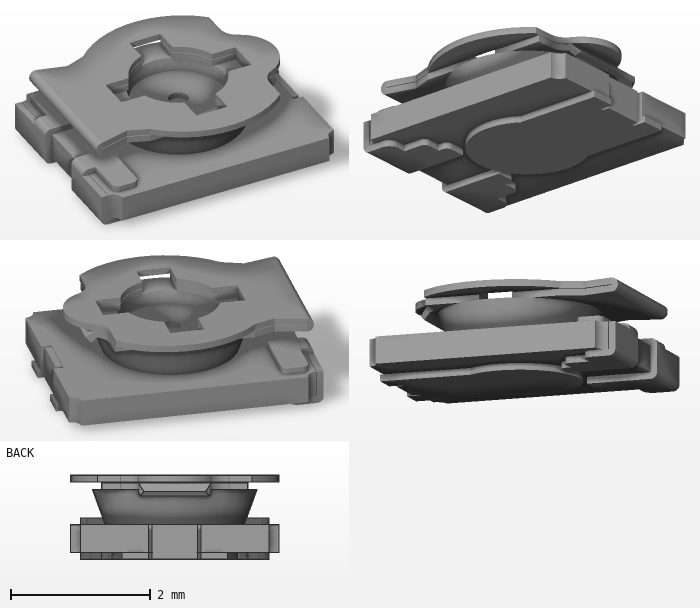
import cadquery as cq
import math


sheet = 0.1
base_bottom = sheet
base_top = 0.5
cup_top = 1.002
hem_gap = 0.01
upper_bottom = cup_top + sheet + hem_gap
part_top = upper_bottom + sheet

base_width = 3.0
base_half_width = base_width / 2
base_rear = 1.817
base_front = -1.833
corner_scoop_radius = 0.15
notch_half_width = 0.377
notch_floor = 1.665

terminal_inner = 0.408
terminal_outer = 1.355
terminal_front = -1.945
arm_outer = 0.755
pad_rear = -1.335
pad_front = -1.735
corner_radius = 0.1
foot_middle_outer = 1.05
foot_rear = -0.872
foot_middle_rear = -1.04
foot_wide_rear = -1.435
foot_wide_radius = 0.15

plate_half_width = 0.755
plate_disc_radius = 0.9
plate_rear = 1.865
lug_half_width = 0.325
lug_rear = 1.77
rivet_radius = 0.3

cup_foot_radius = 1.0
cup_rim_radius = 1.18
pocket_rim_radius = 0.755
pocket_floor_radius = 0.71
pocket_depth = 0.2
eyelet_radius = 0.15
eyelet_depth = 0.1

dial_radius = 1.497
dial_centre = 0.07
shoulder = 1.07
pointer_radius = 0.57
pointer_centre = 1.0
pointer_fillet = 0.285
strip_half_width = 1.05
neck_half_width = 0.935
neck = -1.315
fold_tangent = -1.77
dial_bore_radius = 0.72
slot_half_width = 0.25
tab_drop = 0.122

dial_shoulder_x = math.sqrt(dial_radius**2 - (shoulder - dial_centre) ** 2)
dial_end = dial_centre - math.sqrt(dial_radius**2 - strip_half_width**2)
fillet_centre_y = shoulder + pointer_fillet
fillet_centre_x = math.sqrt(
    (pointer_radius + pointer_fillet) ** 2 - (fillet_centre_y - pointer_centre) ** 2
)
tangent_share = pointer_radius / (pointer_radius + pointer_fillet)
tangent_x = fillet_centre_x * tangent_share
tangent_y = pointer_centre + (fillet_centre_y - pointer_centre) * tangent_share
fillet_start_angle = math.atan2(tangent_y - fillet_centre_y, tangent_x - fillet_centre_x)
fillet_middle_angle = (fillet_start_angle % (2 * math.pi) + 1.5 * math.pi) / 2
fillet_middle_x = fillet_centre_x + pointer_fillet * math.cos(fillet_middle_angle)
fillet_middle_y = fillet_centre_y + pointer_fillet * math.sin(fillet_middle_angle)


def block(x_min, x_max, y_min, y_max, z_min, z_max):
    """Box between the given limits."""
    size = (x_max - x_min, y_max - y_min, z_max - z_min)
    return cq.Workplane("XY").box(*size, centered=False).translate((x_min, y_min, z_min))


def cylinder(radius, z_min, z_max):
    """Cylinder on the wiper axis."""
    return cq.Workplane("XY").workplane(offset=z_min).circle(radius).extrude(z_max - z_min)


def make_base():
    """Ceramic plate with scooped corners, a rear notch and a rivet hole."""
    base = block(-base_half_width, base_half_width, base_front, base_rear, base_bottom, base_top)
    scoops = (
        cq.Workplane("XY")
        .workplane(offset=base_bottom)
        .pushPoints([(x, y) for x in (-base_half_width, base_half_width) for y in (base_front, base_rear)])
        .circle(corner_scoop_radius)
        .extrude(base_top - base_bottom)
    )
    notch = block(-notch_half_width, notch_half_width, notch_floor, base_rear, base_bottom, base_top)
    rivet_hole = cylinder(rivet_radius, base_bottom, base_top)
    return base.cut(scoops).cut(notch).cut(rivet_hole)


def make_terminal(side):
    """End terminal folded around the front of the base; side is +1 or -1 along X."""
    pad_top = base_top + sheet
    inner_face = terminal_front + sheet

    wall = block(terminal_inner, terminal_outer, terminal_front, pad_front, 0, base_top)
    wall = wall.edges("|X and <Y and <Z").fillet(sheet)
    arm = block(terminal_inner, arm_outer, terminal_front, pad_front, 0, pad_top)
    arm = arm.edges("|X and <Y").fillet(sheet)
    base_space = block(terminal_inner, terminal_outer, inner_face, pad_front, sheet, base_top)
    bracket = wall.union(arm).cut(base_space)

    pad = block(terminal_inner, terminal_outer, pad_front, pad_rear, base_top, pad_top)
    pad = pad.edges("|Z and >X").fillet(corner_radius)

    foot_steps = [
        (arm_outer, foot_rear, corner_radius),
        (foot_middle_outer, foot_middle_rear, corner_radius),
        (terminal_outer, foot_wide_rear, foot_wide_radius),
    ]
    terminal = bracket.union(pad)
    for outer, rear, radius in foot_steps:
        step = block(terminal_inner, outer, inner_face, rear, 0, sheet)
        terminal = terminal.union(step.edges("|Z and >X and >Y").fillet(radius))
    return terminal if side > 0 else terminal.mirror("YZ")


def make_centre_plate():
    """Centre terminal: disc, two rear tabs and a lug bent up into the base notch."""
    disc = cylinder(plate_disc_radius, 0, sheet)
    strip = block(-plate_half_width, plate_half_width, 0, plate_rear, 0, sheet)
    gap = block(-notch_half_width, notch_half_width, notch_floor, plate_rear, 0, sheet)
    lug_foot = block(-lug_half_width, lug_half_width, notch_floor, lug_rear, 0, sheet)
    lug = block(-lug_half_width, lug_half_width, lug_rear - sheet, lug_rear, 0, base_top)
    return disc.union(strip).cut(gap).union(lug_foot).union(lug)


def make_cup():
    """Conical cup with a tapered pocket and a blind eyelet, on its rivet."""
    pocket_floor = cup_top - pocket_depth
    eyelet_floor = pocket_floor - eyelet_depth
    half_section = [
        (0, sheet),
        (rivet_radius, sheet),
        (rivet_radius, base_top),
        (cup_foot_radius, base_top),
        (cup_rim_radius, cup_top),
        (pocket_rim_radius, cup_top),
        (pocket_floor_radius, pocket_floor),
        (eyelet_radius, pocket_floor),
        (eyelet_radius, eyelet_floor),
        (0, eyelet_floor),
    ]
    return cq.Workplane("XZ").polyline(half_section).close().revolve(360, (0, 0), (0, 1))


def neck_and_fold_edge(outline):
    """Continue an outline from the -X end of the dial along the neck and fold line to the +X end."""
    return (
        outline.lineTo(-neck_half_width, neck)
        .lineTo(-strip_half_width, fold_tangent)
        .lineTo(strip_half_width, fold_tangent)
        .lineTo(neck_half_width, neck)
        .lineTo(strip_half_width, dial_end)
    )


def make_upper_layer():
    """Dial with its rounded pointer at the rear."""
    outline = (
        cq.Workplane("XY")
        .workplane(offset=upper_bottom)
        .moveTo(dial_shoulder_x, shoulder)
        .lineTo(fillet_centre_x, shoulder)
        .threePointArc((fillet_middle_x, fillet_middle_y), (tangent_x, tangent_y))
        .threePointArc((0, pointer_centre + pointer_radius), (-tangent_x, tangent_y))
        .threePointArc((-fillet_middle_x, fillet_middle_y), (-fillet_centre_x, shoulder))
        .lineTo(-dial_shoulder_x, shoulder)
        .threePointArc((-dial_radius, dial_centre), (-strip_half_width, dial_end))
    )
    outline = neck_and_fold_edge(outline)
    outline = outline.threePointArc((dial_radius, dial_centre), (dial_shoulder_x, shoulder))
    return outline.close().extrude(sheet)


def make_lower_layer():
    """Strip on the cup rim, ending at the root of the bent tab."""
    outline = (
        cq.Workplane("XY")
        .workplane(offset=cup_top)
        .moveTo(strip_half_width, shoulder)
        .lineTo(fillet_centre_x, shoulder)
        .threePointArc((fillet_middle_x, fillet_middle_y), (tangent_x, tangent_y))
        .lineTo(-tangent_x, tangent_y)
        .threePointArc((-fillet_middle_x, fillet_middle_y), (-fillet_centre_x, shoulder))
        .lineTo(-strip_half_width, shoulder)
        .lineTo(-strip_half_width, dial_end)
    )
    return neck_and_fold_edge(outline).close().extrude(sheet)


def make_bent_tab():
    """Tab bent down 45 degrees, its sides following the round of the pointer."""
    root_top = cup_top + sheet
    skew = sheet / math.sqrt(2)
    root_inset = sheet * math.tan(math.pi / 8)
    side_profile = [
        (tangent_y, root_top),
        (tangent_y + tab_drop, root_top - tab_drop),
        (tangent_y + tab_drop - skew, root_top - tab_drop - skew),
        (tangent_y - root_inset, cup_top),
    ]
    tab = cq.Workplane("YZ").polyline(side_profile).close().extrude(tangent_x, both=True)
    pointer_round = (
        cq.Workplane("XY")
        .workplane(offset=base_top)
        .center(0, pointer_centre)
        .circle(pointer_radius)
        .extrude(part_top - base_top)
    )
    return tab.intersect(pointer_round)


def make_fold():
    """Fold joining the two layers at the front, its upper and lower edges fully rounded."""
    fold_front = fold_tangent - sheet
    arc_shift = sheet * math.sqrt(0.5)
    lower_top = cup_top + sheet
    return (
        cq.Workplane("YZ")
        .moveTo(fold_tangent, cup_top)
        .threePointArc((fold_tangent - arc_shift, lower_top - arc_shift), (fold_front, lower_top))
        .lineTo(fold_front, upper_bottom)
        .threePointArc((fold_tangent - arc_shift, upper_bottom + arc_shift), (fold_tangent, part_top))
        .close()
        .extrude(strip_half_width, both=True)
    )


def make_top_sheet():
    """Folded sheet with a bore and a cross-shaped driver slot through both layers."""
    folded = make_upper_layer().union(make_lower_layer()).union(make_fold()).union(make_bent_tab())
    bore = cylinder(dial_bore_radius, cup_top, part_top)
    reach = strip_half_width
    slot_x = block(-reach, reach, -slot_half_width, slot_half_width, cup_top, part_top)
    slot_y = block(-slot_half_width, slot_half_width, -reach, reach, cup_top, part_top)
    return folded.cut(bore).cut(slot_x).cut(slot_y)


def make_wiper():
    """Top sheet and cup riveted through the base to the centre terminal, all one body."""
    return make_cup().union(make_centre_plate()).union(make_top_sheet())


base = make_base()
terminals = [make_terminal(side) for side in (-1, 1)]
wiper = make_wiper()

result = cq.Compound.makeCompound([base.val(), *[terminal.val() for terminal in terminals], wiper.val()])